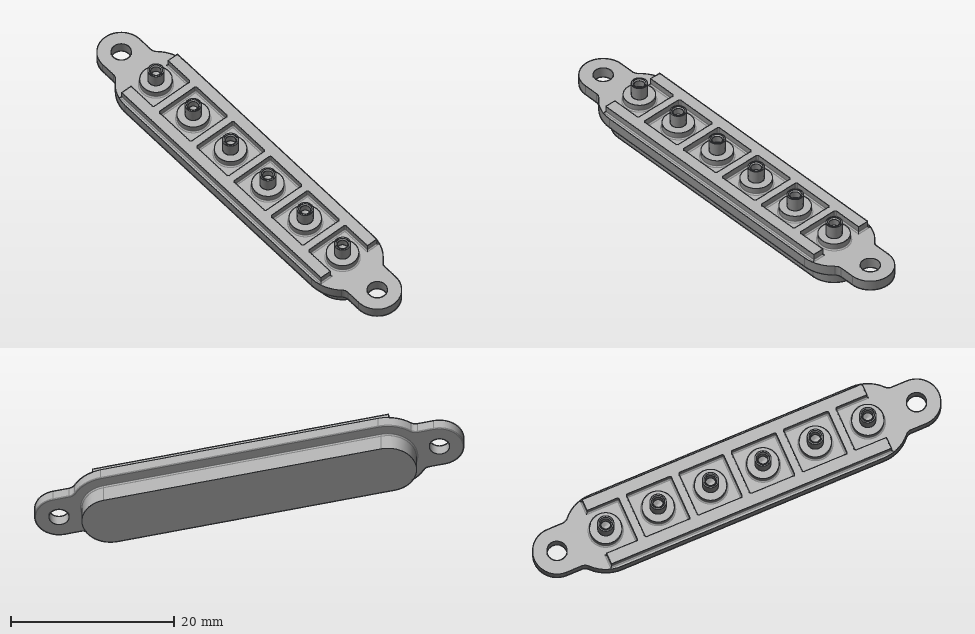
import cadquery as cq
import math

TOTAL_LENGTH = 54.0
PIN_COUNT = 6

PLATE_WIDTH = 10.0
EAR_WIDTH = 6.0
EAR_HOLE_DIAMETER = 2.5
EAR_BLEND_RADIUS = 1.0

BASE_WIDTH = 7.0
END_ARC_SPACING = 35.0

BASE_HEIGHT = 2.5
PLATE_THICKNESS = 1.5
PLATE_EDGE_FILLET = 0.1
FRAME_HEIGHT = 0.95
POST_HEIGHT = 1.85

FRAME_LENGTH = 37.35
FRAME_WIDTH = 9.0
CELL_LENGTH = 6.0
CELL_WIDTH = 6.0
CELL_CORNER_RADIUS = 0.2

BOSS_DIAMETER = 4.0
ROOT_FILLET = 0.15

POST_DIAMETER = 2.0
BORE_DIAMETER = 1.3
BORE_DEPTH = 1.1
BORE_TIP_ANGLE = 118.0
BORE_MOUTH_CHAMFER = 0.15

PLATE_TOP = BASE_HEIGHT + PLATE_THICKNESS
FRAME_TOP = PLATE_TOP + FRAME_HEIGHT
EAR_HOLE_SPACING = TOTAL_LENGTH - EAR_WIDTH
PIN_PITCH = END_ARC_SPACING / (PIN_COUNT - 1)
PIN_XS = [(i - (PIN_COUNT - 1) / 2) * PIN_PITCH for i in range(PIN_COUNT)]


def slot_block(length, width, bottom, height):
    """Block with fully rounded ends, lying along X and centred on the origin."""
    return cq.Workplane("XY", origin=(0, 0, bottom)).slot2D(length, width).extrude(height)


def make_plate():
    """Rounded flange blended into a screw ear at each end."""
    flange = slot_block(END_ARC_SPACING + PLATE_WIDTH, PLATE_WIDTH, BASE_HEIGHT, PLATE_THICKNESS)
    ears = slot_block(TOTAL_LENGTH, EAR_WIDTH, BASE_HEIGHT, PLATE_THICKNESS)
    ear_side = EAR_WIDTH / 2
    corner_x = END_ARC_SPACING / 2 + math.sqrt((PLATE_WIDTH / 2) ** 2 - ear_side ** 2)
    plate = flange.union(ears)
    for x in (-corner_x, corner_x):
        for y in (-ear_side, ear_side):
            corner = cq.selectors.NearestToPointSelector((x, y, BASE_HEIGHT + PLATE_THICKNESS / 2))
            plate = plate.edges("|Z").edges(corner).fillet(EAR_BLEND_RADIUS)
    return plate.faces("<Z").edges().fillet(PLATE_EDGE_FILLET)


def make_frame():
    """Ladder frame on the plate with a cell round each boss; the end cells open outwards."""
    cells = (
        cq.Workplane("XY", origin=(0, 0, PLATE_TOP))
        .pushPoints([(x, 0) for x in PIN_XS])
        .rect(CELL_LENGTH, CELL_WIDTH)
        .extrude(FRAME_HEIGHT)
        .edges("|Z")
        .fillet(CELL_CORNER_RADIUS)
    )
    end_openings = (
        cq.Workplane("XY", origin=(0, 0, PLATE_TOP))
        .pushPoints([(PIN_XS[0] - CELL_LENGTH / 2, 0), (PIN_XS[-1] + CELL_LENGTH / 2, 0)])
        .rect(CELL_LENGTH, CELL_WIDTH)
        .extrude(FRAME_HEIGHT)
    )
    return (
        cq.Workplane("XY", origin=(0, 0, PLATE_TOP))
        .rect(FRAME_LENGTH, FRAME_WIDTH)
        .extrude(FRAME_HEIGHT)
        .cut(cells)
        .cut(end_openings)
    )


def make_bosses():
    """Round seats on the plate that carry the pins."""
    return (
        cq.Workplane("XY", origin=(0, 0, PLATE_TOP))
        .pushPoints([(x, 0) for x in PIN_XS])
        .circle(BOSS_DIAMETER / 2)
        .extrude(FRAME_HEIGHT)
    )


def root_edges(body, level, length, width):
    """Horizontal edges at a level that lie within a centred length x width area."""
    half_slice = 0.05
    area = cq.selectors.BoxSelector(
        (-length / 2, -width / 2, level - half_slice),
        (length / 2, width / 2, level + half_slice),
        boundingbox=True,
    )
    return body.edges(area)


def make_housing():
    """Base plug, plate, frame and bosses as one body, with the ear holes."""
    edge_margin = 0.1
    base_length = END_ARC_SPACING + BASE_WIDTH
    housing = slot_block(base_length, BASE_WIDTH, 0, BASE_HEIGHT).union(make_plate())
    housing = housing.union(make_frame()).union(make_bosses())
    housing = root_edges(
        housing, BASE_HEIGHT, base_length + edge_margin, BASE_WIDTH + edge_margin
    ).fillet(ROOT_FILLET)
    housing = root_edges(
        housing, PLATE_TOP, base_length, FRAME_WIDTH + edge_margin
    ).fillet(ROOT_FILLET)
    ear_holes = (
        cq.Workplane("XY")
        .pushPoints([(-EAR_HOLE_SPACING / 2, 0), (EAR_HOLE_SPACING / 2, 0)])
        .circle(EAR_HOLE_DIAMETER / 2)
        .extrude(PLATE_TOP)
    )
    return housing.cut(ear_holes)


def make_pin(x):
    """Hollow post standing on the boss at the given x."""
    post_radius = POST_DIAMETER / 2
    bore_radius = BORE_DIAMETER / 2
    tip_depth = bore_radius / math.tan(math.radians(BORE_TIP_ANGLE / 2))
    half_section = [
        (0, 0),
        (post_radius, 0),
        (post_radius, POST_HEIGHT),
        (bore_radius + BORE_MOUTH_CHAMFER, POST_HEIGHT),
        (bore_radius, POST_HEIGHT - BORE_MOUTH_CHAMFER),
        (bore_radius, POST_HEIGHT - BORE_DEPTH),
        (0, POST_HEIGHT - BORE_DEPTH - tip_depth),
    ]
    return (
        cq.Workplane("XZ", origin=(x, 0, FRAME_TOP))
        .polyline(half_section)
        .close()
        .revolve(360, (0, 0), (0, 1))
    )


housing = make_housing()
pins = [make_pin(x) for x in PIN_XS]
result = cq.Compound.makeCompound([housing.val()] + [pin.val() for pin in pins])